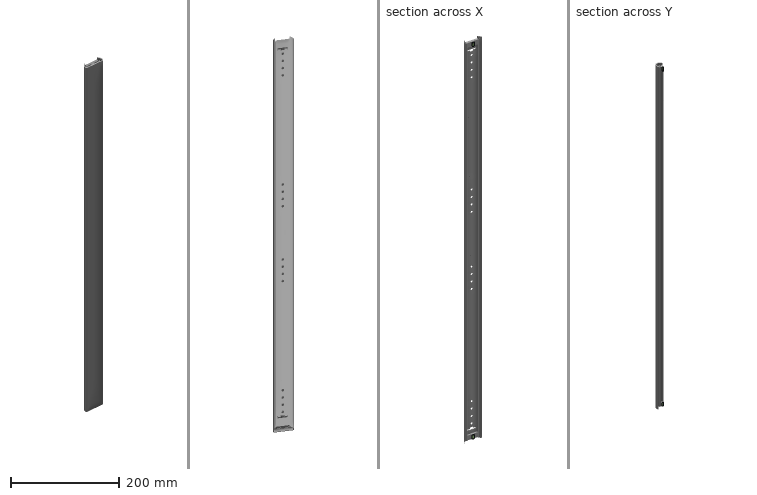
import cadquery as cq
import math

slide_depth = 13.0
slide_width = 39.6
slide_length = 864.0
sheet = 1.5

back_x = slide_depth / 2
front_x = -slide_depth / 2
outer_half_width = slide_width / 2
corner_radius = 3.0
lip_bend_x = 1.0
lip_bend_radius = 5.0
lip_lean = math.radians(36)

inner_length = 856.0
inner_half_width = 13.3
inner_front_x = -5.8
inner_back_x = inner_front_x + sheet
inner_leg_end_x = 0.0

screw_diameter = 4.0
countersink_diameter = 6.0
countersink_angle = 90
screw_pitch = 16.0
screws_per_row = 4
row_first_z = (396.8, 107.0)

slot_top_z = 409.8
slot_band_height = 2.6
slot_height = 5.2
slot_width = 18.8
slot_middle_leg_width = 7.0
slot_side_leg_width = 0.5

stop_inner_z = 417.6
stop_outer_z = inner_length / 2
stop_head_height = 4.2
stop_stem_width = 24.0
stop_head_width = 2 * inner_half_width
stop_block_width = 2 * (inner_half_width - sheet)
stop_block_back_x = -1.0
stop_post_radius = 3.5

retainer_outer_y = 15.7
retainer_inner_y = 4.0
retainer_front_x = -2.0
retainer_flange_x = 0.6
retainer_sheet = 1.4


def box(x_min, x_max, y_min, y_max, z_min, z_max):
    """Box between the given limits."""
    corner = cq.Vector(x_min, y_min, z_min)
    return cq.Workplane(cq.Solid.makeBox(x_max - x_min, y_max - y_min, z_max - z_min, corner))


def centred_box(x_min, x_max, width, z_min, z_max):
    """Box centred across the slide."""
    return box(x_min, x_max, -width / 2, width / 2, z_min, z_max)


def channel_half(inset):
    """Key points of one side of the outer rail, moved inwards by the sheet thickness given as inset."""
    wall_y = outer_half_width - inset
    corner_r = corner_radius - inset
    corner_x = back_x - corner_radius
    corner_y = outer_half_width - corner_radius
    bend_r = lip_bend_radius - inset
    bend_y = outer_half_width - lip_bend_radius
    bend_end_x = lip_bend_x - bend_r * math.sin(lip_lean)
    bend_end_y = bend_y + bend_r * math.cos(lip_lean)
    diagonal = math.sqrt(0.5)
    return {
        "web": (back_x - inset, corner_y),
        "corner_mid": (corner_x + corner_r * diagonal, corner_y + corner_r * diagonal),
        "wall_back": (corner_x, wall_y),
        "wall_front": (lip_bend_x, wall_y),
        "bend_mid": (
            lip_bend_x - bend_r * math.sin(lip_lean / 2),
            bend_y + bend_r * math.cos(lip_lean / 2),
        ),
        "bend_end": (bend_end_x, bend_end_y),
        "lip_end": (front_x, bend_end_y - (bend_end_x - front_x) * math.tan(lip_lean)),
    }


def mirror_y(point):
    """The matching point on the other side of the slide."""
    return (point[0], -point[1])


def make_outer_rail():
    outside = channel_half(0)
    inside = channel_half(sheet)
    profile = (
        cq.Workplane("XY", origin=(0, 0, -slide_length / 2))
        .moveTo(*mirror_y(outside["web"]))
        .lineTo(*outside["web"])
        .threePointArc(outside["corner_mid"], outside["wall_back"])
        .lineTo(*outside["wall_front"])
        .threePointArc(outside["bend_mid"], outside["bend_end"])
        .lineTo(*outside["lip_end"])
        .lineTo(*inside["lip_end"])
        .lineTo(*inside["bend_end"])
        .threePointArc(inside["bend_mid"], inside["wall_front"])
        .lineTo(*inside["wall_back"])
        .threePointArc(inside["corner_mid"], inside["web"])
        .lineTo(*mirror_y(inside["web"]))
        .threePointArc(mirror_y(inside["corner_mid"]), mirror_y(inside["wall_back"]))
        .lineTo(*mirror_y(inside["wall_front"]))
        .threePointArc(mirror_y(inside["bend_mid"]), mirror_y(inside["bend_end"]))
        .lineTo(*mirror_y(inside["lip_end"]))
        .lineTo(*mirror_y(outside["lip_end"]))
        .lineTo(*mirror_y(outside["bend_end"]))
        .threePointArc(mirror_y(outside["bend_mid"]), mirror_y(outside["wall_front"]))
        .lineTo(*mirror_y(outside["wall_back"]))
        .threePointArc(mirror_y(outside["corner_mid"]), mirror_y(outside["web"]))
        .close()
    )
    return profile.extrude(slide_length)


def stop_plate():
    """T-shaped plate of the upper end stop, which also shapes its cutout in the inner rail."""
    head_start_z = stop_outer_z - stop_head_height
    stem = centred_box(inner_front_x, inner_back_x, stop_stem_width, stop_inner_z, stop_outer_z)
    head = centred_box(inner_front_x, inner_back_x, stop_head_width, head_start_z, stop_outer_z)
    return stem.union(head)


def end_slot():
    """Cutter for the three-legged slot near the upper end."""
    bottom_z = slot_top_z - slot_height
    band_z = slot_top_z - slot_band_height
    band = centred_box(inner_front_x, inner_back_x, slot_width, band_z, slot_top_z)
    middle_leg = centred_box(inner_front_x, inner_back_x, slot_middle_leg_width, bottom_z, slot_top_z)
    leg_outer_y = slot_width / 2
    leg_inner_y = leg_outer_y - slot_side_leg_width
    side_leg = box(inner_front_x, inner_back_x, leg_inner_y, leg_outer_y, bottom_z, slot_top_z)
    return band.union(middle_leg).union(side_leg).union(side_leg.mirror("XZ"))


def screw_points():
    """Screw positions along the web, on a workplane whose second axis is Z."""
    points = []
    for first_z in row_first_z:
        for index in range(screws_per_row):
            z = first_z - index * screw_pitch
            points += [(0, z), (0, -z)]
    return points


def make_inner_rail():
    half_length = inner_length / 2
    rail = centred_box(inner_front_x, inner_leg_end_x, 2 * inner_half_width, -half_length, half_length)
    hollow_width = 2 * (inner_half_width - sheet)
    rail = rail.cut(centred_box(inner_back_x, inner_leg_end_x, hollow_width, -half_length, half_length))
    for cutter in (stop_plate(), end_slot()):
        rail = rail.cut(cutter).cut(cutter.mirror("XY"))
    web_face = cq.Workplane(cq.Plane(origin=(inner_front_x, 0, 0), xDir=(0, -1, 0), normal=(-1, 0, 0)))
    rail = web_face.add(rail).pushPoints(screw_points()).cskHole(
        screw_diameter, countersink_diameter, countersink_angle, depth=sheet
    )
    return rail


def make_end_stop():
    """Upper end stop."""
    height = stop_outer_z - stop_inner_z
    block = centred_box(inner_back_x, stop_block_back_x, stop_block_width, stop_inner_z, stop_outer_z)
    post = (
        cq.Workplane("XY", origin=(stop_block_back_x, 0, stop_inner_z))
        .circle(stop_post_radius)
        .extrude(height)
    )
    post = post.intersect(
        centred_box(stop_block_back_x, back_x, stop_block_width, stop_inner_z, stop_outer_z)
    )
    return stop_plate().union(block).union(post)


def make_retainer():
    """Ball retainer on the +Y side."""
    flange_end_x = retainer_flange_x + retainer_sheet
    leg_inner_y = retainer_outer_y - retainer_sheet
    half_length = inner_length / 2
    leg = box(retainer_front_x, flange_end_x, leg_inner_y, retainer_outer_y, -half_length, half_length)
    flange = box(
        retainer_flange_x, flange_end_x, retainer_inner_y, retainer_outer_y, -half_length, half_length
    )
    return leg.union(flange)


outer_rail = make_outer_rail()
inner_rail = make_inner_rail()

upper_stop = make_end_stop()
end_stops = [upper_stop, upper_stop.mirror("XY")]

left_retainer = make_retainer()
retainers = [left_retainer, left_retainer.mirror("XZ")]

bodies = [outer_rail, inner_rail, *end_stops, *retainers]
result = cq.Compound.makeCompound([body.solids().val() for body in bodies])